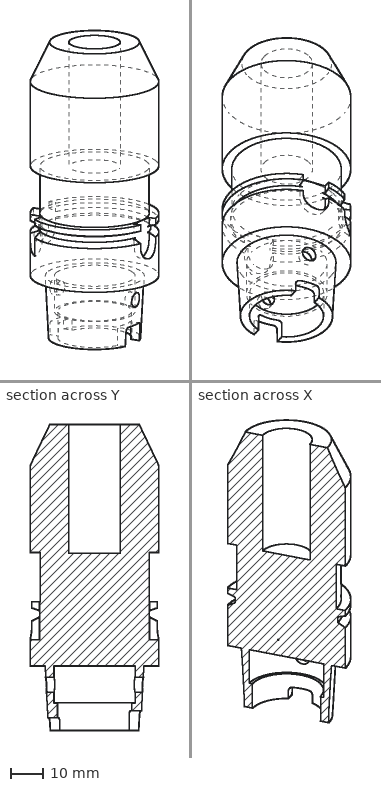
import cadquery as cq

total_height = 95.0
shank_height = 19.95
flange_top = 40.0
body_bottom = 55.2
nose_bottom = 82.4

body_radius = 20.0
neck_radius = 17.0
nose_radius = 14.0
shank_top_radius = 15.4
shank_end_radius = 14.3

groove_radius = 17.5
groove_outer_bottom = 34.0
groove_inner_bottom = 35.3
groove_inner_top = 37.1
groove_outer_top = 38.0

bore_radius = 8.0
bore_depth = 39.9
hollow_radius = 12.5
mouth_radius = 11.5
mouth_depth = 8.55
hollow_depth = shank_height

slot_radius = 4.5
slot_center_z = 32.7
drive_floor_x = 17.1
index_floor_x = 11.9
index_center_y = -16.3

cross_hole_radius = 2.3
cross_hole_z = 14.25
notch_width = 8.2
notch_corner_radius = 1.2
left_notch_height = 3.9
right_notch_height = 6.1


def turned_body():
    """Shank, grooved flange, neck, body and tapered nose."""
    return (
        cq.Workplane("XZ")
        .moveTo(0, 0)
        .lineTo(shank_end_radius, 0)
        .lineTo(shank_top_radius, shank_height)
        .lineTo(body_radius, shank_height)
        .lineTo(body_radius, groove_outer_bottom)
        .lineTo(groove_radius, groove_inner_bottom)
        .lineTo(groove_radius, groove_inner_top)
        .lineTo(body_radius, groove_outer_top)
        .lineTo(body_radius, flange_top)
        .lineTo(neck_radius, flange_top)
        .lineTo(neck_radius, body_bottom)
        .lineTo(body_radius, body_bottom)
        .lineTo(body_radius, nose_bottom)
        .lineTo(nose_radius, total_height)
        .lineTo(0, total_height)
        .close()
        .revolve(360, (0, 0, 0), (0, 1, 0))
    )


def flange_slot(side, floor_x, center_y):
    """Round-ended slot open at the flange top and outward; side is -1 or 1 along X."""
    return (
        cq.Workplane("YZ", origin=(side * floor_x, 0, 0))
        .moveTo(center_y - slot_radius, flange_top)
        .lineTo(center_y - slot_radius, slot_center_z)
        .threePointArc(
            (center_y, slot_center_z - slot_radius),
            (center_y + slot_radius, slot_center_z),
        )
        .lineTo(center_y + slot_radius, flange_top)
        .close()
        .extrude(side * body_radius)
    )


def end_notch(side, height):
    """Notch through one shank wall, with its two upper corners rounded."""
    return (
        cq.Workplane("XY")
        .box(body_radius, notch_width, height, centered=(True, True, False))
        .edges("|X and >Z")
        .fillet(notch_corner_radius)
        .translate((side * body_radius / 2, 0, 0))
    )


tool_bore = (
    cq.Workplane("XY", origin=(0, 0, total_height))
    .circle(bore_radius)
    .extrude(-bore_depth)
)
mouth = cq.Workplane("XY").circle(mouth_radius).extrude(mouth_depth)
undercut = (
    cq.Workplane("XY", origin=(0, 0, mouth_depth))
    .circle(hollow_radius)
    .extrude(hollow_depth - mouth_depth)
)
shank_hollow = mouth.union(undercut)
cross_hole = (
    cq.Workplane("YZ")
    .center(0, cross_hole_z)
    .circle(cross_hole_radius)
    .extrude(body_radius, both=True)
)

result = turned_body().cut(tool_bore).cut(shank_hollow).cut(cross_hole)

for side in (-1, 1):
    result = result.cut(flange_slot(side, drive_floor_x, 0))
result = result.cut(flange_slot(-1, index_floor_x, index_center_y))

result = result.cut(end_notch(-1, left_notch_height))
result = result.cut(end_notch(1, right_notch_height))